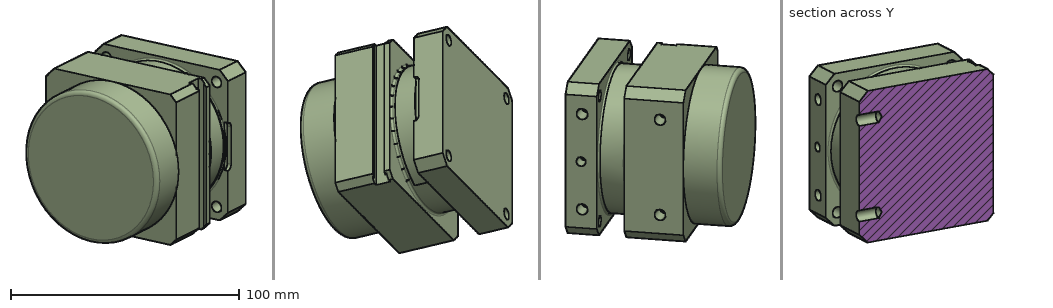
import cadquery as cq
import math

width = 70.0
half = width / 2
corner_chamfer = 4.4

cover_front_y = -half
body_front_y = -18.0
body_back_y = 8.6
flange_front_y = 20.9
flange_back_y = half

cover_radius = half
cover_edge_fillet = 2.0
neck_radius = 33.0
neck_flare = 1.0

side_flat_x = 33.7
slot_center_y = 3.05
slot_width = 6.9
slot_mouth_width = 5.5
slot_floor_x = 28.95
slot_lip_x = 32.4

side_hole_diameter = 4.92
side_hole_depth = 10.0
drill_point_angle = 118.0
side_hole_z = 22.0
body_hole_y = -7.5
flange_hole_y = 27.5
pin_hole_diameter = 4.13
pin_hole_depth = 8.0
pin_hole_y = 28.0

corner_hole_diameter = 5.0
corner_hole_offset = 29.0

recess_half_height = 11.1
recess_depth = 2.5
recess_floor_fillet = 2.4
recess_inner_x = neck_radius

panel_half_angle = 66.2
panel_depth = 0.1
panel_front_y = 10.75
panel_back_y = 20.5
panel_corner_radius = 0.5
mark_half_angle = 60
mark_step = 10
mark_width = 0.1
mark_depth = 0.2


def box(x_range, y_range, z_range):
    """Axis-aligned box between pairs of limits."""
    size = [r[1] - r[0] for r in (x_range, y_range, z_range)]
    corner = (x_range[0], y_range[0], z_range[0])
    return cq.Workplane("XY").box(*size, centered=False).translate(corner)


def disc(radius, y_start, y_end):
    """Cylinder on the part axis."""
    return cq.Workplane("XZ", origin=(0, y_start, 0)).circle(radius).extrude(y_start - y_end)


def square_block(y_start, y_end):
    """Square block with its four lengthwise corners chamfered."""
    block = box((-half, half), (y_start, y_end), (-half, half))
    return block.edges("|Y").chamfer(corner_chamfer)


def make_cover():
    cover = disc(cover_radius, cover_front_y, body_front_y)
    return cover.faces("<Y").edges().fillet(cover_edge_fillet)


def make_body():
    """Square body with a flat on +X and a T-slot along Z in that flat."""
    body = square_block(body_front_y, body_back_y)
    body = body.cut(box((side_flat_x, width), (body_front_y, body_back_y), (-half, half)))
    for slot_part_width, x_end in ((slot_width, slot_lip_x), (slot_mouth_width, half)):
        y_range = (slot_center_y - slot_part_width / 2, slot_center_y + slot_part_width / 2)
        body = body.cut(box((slot_floor_x, x_end), y_range, (-half, half)))
    return body


def make_neck():
    """Cylinder that flares out in a concave round at both ends."""
    arc_offset = neck_flare * (1 - math.sqrt(0.5))
    flare_radius = neck_radius + neck_flare
    profile = (
        cq.Workplane("XY")
        .moveTo(0, body_back_y)
        .lineTo(flare_radius, body_back_y)
        .threePointArc(
            (neck_radius + arc_offset, body_back_y + arc_offset),
            (neck_radius, body_back_y + neck_flare),
        )
        .lineTo(neck_radius, flange_front_y - neck_flare)
        .threePointArc(
            (neck_radius + arc_offset, flange_front_y - arc_offset),
            (flare_radius, flange_front_y),
        )
        .lineTo(0, flange_front_y)
        .close()
    )
    neck = profile.revolve(360, (0, 0, 0), (0, 1, 0))
    return neck.intersect(box((-half, side_flat_x), (body_back_y, flange_front_y), (-half, half)))


def cut_panel(part):
    """Shallow panel recess wrapped around the +X side of the neck."""
    panel_radius = neck_radius - panel_depth
    edge_x = neck_radius * math.cos(math.radians(panel_half_angle))
    outline = box((edge_x, half), (panel_front_y, panel_back_y), (-half, half))
    outline = outline.edges("|Z and <X and <Y").fillet(panel_corner_radius)
    return part.cut(outline.cut(disc(panel_radius, panel_front_y, panel_back_y)))


def cut_marks(part):
    """Graduation grooves across the flare next to the body."""
    mark = box(
        (neck_radius - mark_depth, half),
        (body_back_y, body_back_y + neck_flare),
        (-mark_width / 2, mark_width / 2),
    )
    for angle in range(-mark_half_angle, mark_half_angle + 1, mark_step):
        part = part.cut(mark.rotate((0, 0, 0), (0, 1, 0), angle))
    return part


def make_flange():
    """Square flange with corner holes and a shallow recess open to +X."""
    flange = square_block(flange_front_y, flange_back_y)
    corner_spacing = 2 * corner_hole_offset
    holes = (
        cq.Workplane("XZ", origin=(0, flange_front_y, 0))
        .rect(corner_spacing, corner_spacing, forConstruction=True)
        .vertices()
        .circle(corner_hole_diameter / 2)
        .extrude(flange_front_y - flange_back_y)
    )
    recess = box(
        (recess_inner_x, half),
        (flange_front_y, flange_front_y + recess_depth),
        (-recess_half_height, recess_half_height),
    )
    recess = recess.edges("|X and >Y").fillet(recess_floor_fillet)
    return flange.cut(holes).cut(recess)


def side_hole(y, z):
    """Blind drilled hole from the -X side."""
    radius = side_hole_diameter / 2
    point_length = radius / math.tan(math.radians(drill_point_angle / 2))
    hole = (
        cq.Workplane("XY")
        .polyline([
            (-half, 0),
            (-half, radius),
            (-half + side_hole_depth, radius),
            (-half + side_hole_depth + point_length, 0),
        ])
        .close()
        .revolve(360, (0, 0, 0), (1, 0, 0))
    )
    return hole.translate((0, y, z))


def cut_side_holes(part):
    for y in (body_hole_y, flange_hole_y):
        for z in (-side_hole_z, side_hole_z):
            part = part.cut(side_hole(y, z))
    pin_hole = (
        cq.Workplane("YZ", origin=(-half, pin_hole_y, 0))
        .circle(pin_hole_diameter / 2)
        .extrude(pin_hole_depth)
    )
    return part.cut(pin_hole)


neck = cut_marks(cut_panel(make_neck()))
assembled = make_cover().union(make_body()).union(neck).union(make_flange())
result = cut_side_holes(assembled)